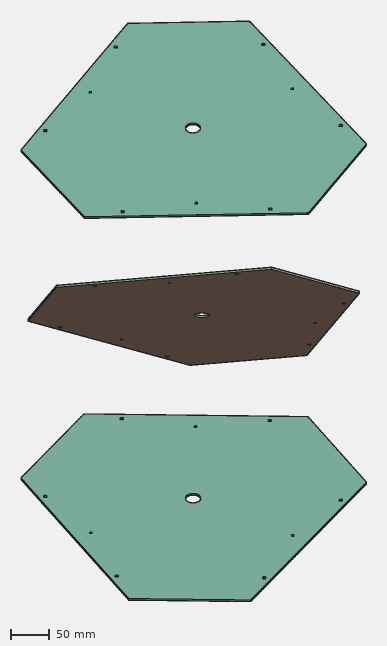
import cadquery as cq
import math

width = 392.0
length = 453.0
thickness = 3.0
long_side = 293.0
short_side = 159.5
center_to_left = 176.5

bore_diameter = 20.0
outer_hole_diameter = 4.4
outer_circle_radius = 193.5
inner_hole_diameter = 3.4
inner_circle_radius = 152.5

left_x = -center_to_left
right_x = left_x + width
tip_x = left_x + short_side * math.cos(math.radians(30))
half_outline = [
    (left_x, long_side / 2),
    (tip_x, length / 2),
    (right_x, short_side / 2),
]
outline = half_outline + [(x, -y) for x, y in reversed(half_outline)]


def drill_ring(plate, radius, start_angle, count, diameter):
    """Drill evenly spaced through holes on a circle about the bore."""
    return (
        plate.faces(">Z")
        .workplane(origin=(0, 0, 0))
        .polarArray(radius, start_angle, 360, count)
        .hole(diameter)
    )


plate = cq.Workplane("XY").polyline(outline).close().extrude(thickness)
plate = plate.faces(">Z").workplane(origin=(0, 0, 0)).hole(bore_diameter)
plate = drill_ring(plate, outer_circle_radius, 30, 6, outer_hole_diameter)
result = drill_ring(plate, inner_circle_radius, 60, 3, inner_hole_diameter)